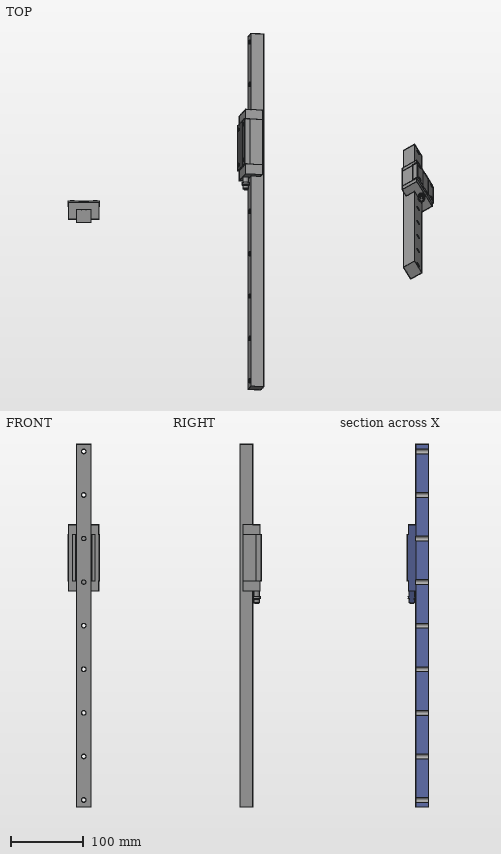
import cadquery as cq

rail_length = 500.0
rail_width = 20.0
rail_height = 18.0
hole_diameter = 6.0
hole_pitch = 60.0
hole_end_distance = 10.0
hole_count = 9

carriage_center_z = 93.5
carriage_length = 91.5
body_center_z = 93.8
body_length = 64.0
body_width = 43.95
body_skirt_width = 42.4
body_step_y = 22.0
body_top_y = 30.0
body_top_chamfer = 1.0
relief_width = 14.0
relief_depth = 0.3
carriage_bottom_y = 4.6
cap_width = 42.0
cap_top_y = 28.0
recess_width = 31.6
recess_depth = 3.0
body_channel_width = 22.4

pad_height = 0.2
pad_diameter = 5.0
pad_spacing_x = 32.0
pad_spacing_z = 50.0

nipple_y = 23.2
nipple_stem_diameter = 8.0
nipple_stem_length = 7.5
nipple_collar_diameter = 10.0
nipple_collar_length = 3.0
nipple_neck_diameter = 6.0
nipple_neck_length = 1.5
nipple_head_diameter = 8.0
nipple_head_length = 4.0
nipple_tip_diameter = 4.5
nipple_tip_length = 1.0


def block(width, bottom_y, top_y, length, center_z):
    """Box centred on X, between two Y levels, centred along Z."""
    height = top_y - bottom_y
    return (
        cq.Workplane("XY")
        .box(width, height, length)
        .translate((0, (bottom_y + top_y) / 2, center_z))
    )


def make_rail():
    rail = block(rail_width, 0, rail_height, rail_length, 0)
    first_hole_z = -rail_length / 2 + hole_end_distance
    for i in range(hole_count):
        hole = (
            cq.Workplane("XZ", origin=(0, 0, first_hole_z + i * hole_pitch))
            .circle(hole_diameter / 2)
            .extrude(-rail_height)
        )
        rail = rail.cut(hole)
    return rail


def make_carriage():
    caps = block(cap_width, carriage_bottom_y, cap_top_y, carriage_length, carriage_center_z)
    skirt = block(body_skirt_width, carriage_bottom_y, body_step_y, body_length, body_center_z)
    top = block(body_width, body_step_y, body_top_y, body_length, body_center_z)
    top = top.edges("|Z and >Y").chamfer(body_top_chamfer)
    relief = block(relief_width, body_top_y - relief_depth, body_top_y, body_length, body_center_z)
    top = top.cut(relief)
    pads = (
        cq.Workplane("XZ", origin=(0, body_top_y, body_center_z))
        .rect(pad_spacing_x, pad_spacing_z, forConstruction=True)
        .vertices()
        .circle(pad_diameter / 2)
        .extrude(-pad_height)
    )
    rail_slot = block(rail_width, carriage_bottom_y, rail_height, carriage_length, carriage_center_z)
    channel = block(body_channel_width, carriage_bottom_y, rail_height, body_length, body_center_z)
    recess = block(
        recess_width, carriage_bottom_y, carriage_bottom_y + recess_depth, body_length, body_center_z
    )
    return caps.union(skirt).union(top).union(pads).cut(rail_slot).cut(channel).cut(recess)


def make_nipple():
    """Turned fitting hanging from the lower cap: stem, collar, conical neck, head and tapered tip."""
    collar_start = nipple_stem_length
    neck_start = collar_start + nipple_collar_length
    head_start = neck_start + nipple_neck_length
    tip_start = head_start + nipple_head_length
    tip_end = tip_start + nipple_tip_length
    profile = [
        (0, 0),
        (nipple_stem_diameter / 2, 0),
        (nipple_stem_diameter / 2, -collar_start),
        (nipple_collar_diameter / 2, -collar_start),
        (nipple_collar_diameter / 2, -neck_start),
        (nipple_neck_diameter / 2, -neck_start),
        (nipple_head_diameter / 2, -head_start),
        (nipple_head_diameter / 2, -tip_start),
        (nipple_tip_diameter / 2, -tip_end),
        (0, -tip_end),
    ]
    cap_lower_z = carriage_center_z - carriage_length / 2
    return (
        cq.Workplane("XZ", origin=(0, nipple_y, cap_lower_z))
        .polyline(profile)
        .close()
        .revolve(360, (0, 0, 0), (0, 1, 0))
    )


rail = make_rail()
carriage = make_carriage()
nipple = make_nipple()

result = cq.Compound.makeCompound([rail.val(), carriage.val(), nipple.val()])